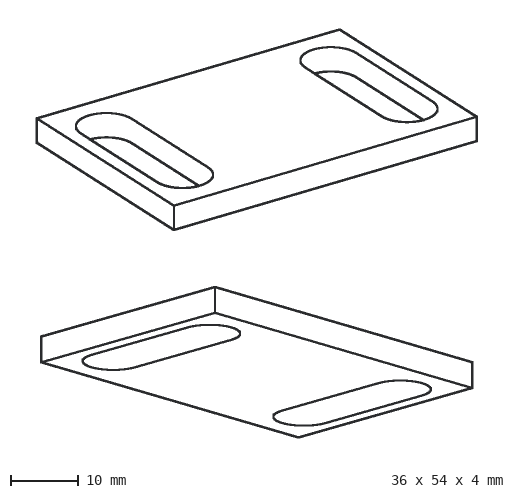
import cadquery as cq

plate_width = 36.0
plate_length = 54.0
plate_thickness = 4.0

slot_length = 29.0
slot_width = 9.0
slot_spacing = 40.0

plate = cq.Workplane("XY").box(plate_width, plate_length, plate_thickness)

slot_centers = [(0, -slot_spacing / 2), (0, slot_spacing / 2)]
result = (
    plate.faces(">Z")
    .workplane()
    .pushPoints(slot_centers)
    .slot2D(slot_length, slot_width)
    .cutThruAll()
)